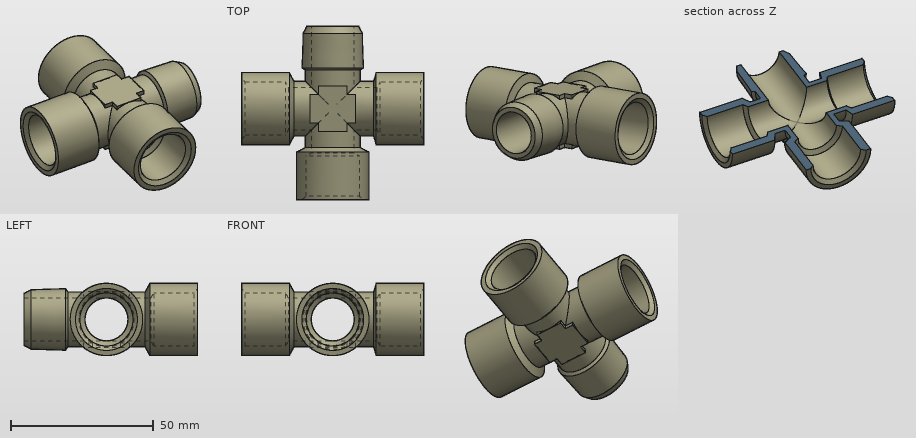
import cadquery as cq
import math

neck_diameter = 19.3
bore_diameter = 15.0

socket_reach = 32.0
socket_diameter = 25.5
socket_length = 16.8
shoulder_length = 1.65
short_shoulder_length = 0.9
thread_diameter = 18.6
thread_depth = 15.35
drill_tip_angle = 118.0
mouth_diameter = 21.75
mouth_depth = 1.3

male_reach = 29.0
tip_diameter = 18.3
tip_length = 2.55
thread_start_diameter = 20.9
thread_end_diameter = 21.7
thread_end_reach = 14.35
runout_reach = 13.6

pad_span = 16.0
pad_arm_width = 9.9
pad_height = 9.8


def revolve_profile(points):
    """Solid of revolution about Z from (diameter, height) pairs, closed along the axis."""
    outline = [(diameter / 2, height) for diameter, height in points]
    outline = [(0, outline[0][1])] + outline + [(0, outline[-1][1])]
    return cq.Workplane("XZ").polyline(outline).close().revolve(360, (0, 0), (0, 1))


def socket_body(shoulder):
    body_start = socket_reach - socket_length
    return revolve_profile([
        (neck_diameter, 0),
        (neck_diameter, body_start - shoulder),
        (socket_diameter, body_start),
        (socket_diameter, socket_reach),
    ])


def socket_cavity():
    thread_bottom = socket_reach - thread_depth
    drill_tip = (thread_diameter - bore_diameter) / 2 / math.tan(math.radians(drill_tip_angle / 2))
    return revolve_profile([
        (bore_diameter, 0),
        (bore_diameter, thread_bottom - drill_tip),
        (thread_diameter, thread_bottom),
        (thread_diameter, socket_reach - mouth_depth),
        (mouth_diameter, socket_reach),
    ])


def male_body():
    return revolve_profile([
        (neck_diameter, 0),
        (neck_diameter, runout_reach),
        (thread_end_diameter, thread_end_reach),
        (thread_start_diameter, male_reach - tip_length),
        (tip_diameter, male_reach),
    ])


def male_cavity():
    return revolve_profile([(bore_diameter, 0), (bore_diameter, male_reach)])


def aim(solid, heading):
    """Lay a +Z arm flat, pointing at the heading angle measured from +X."""
    flat = solid.rotate((0, 0, 0), (0, 1, 0), 90)
    return flat.rotate((0, 0, 0), (0, 0, 1), heading)


arms = [
    (0, socket_body(short_shoulder_length), socket_cavity()),
    (90, male_body(), male_cavity()),
    (180, socket_body(shoulder_length), socket_cavity()),
    (270, socket_body(shoulder_length), socket_cavity()),
]

result = (
    cq.Workplane("XY")
    .box(pad_span, pad_arm_width, 2 * pad_height)
    .union(cq.Workplane("XY").box(pad_arm_width, pad_span, 2 * pad_height))
)
for heading, body, _ in arms:
    result = result.union(aim(body, heading))

for heading, _, cavity in arms:
    result = result.cut(aim(cavity, heading))